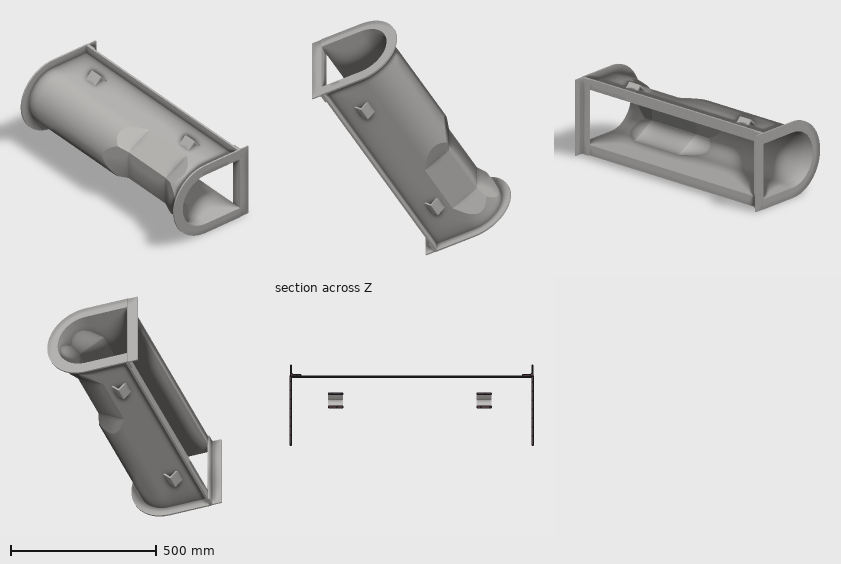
import cadquery as cq
import math


length = 838.0
depth = 330.0
height = 279.0

wall = 6.4
flange_radius = height / 2
inner_radius = 101.5
outer_radius = inner_radius + wall
border_width = flange_radius - inner_radius
trough_back = 152.5

dent_center_x = 190.0
dent_width = 203.0
dent_front = 74.0
dent_face_half_height = 54.0
dent_tilt = math.radians(30)
dent_ramp = math.radians(19)

gasket_thickness = 1.25
gasket_back = trough_back + gasket_thickness

angle_leg = depth - flange_radius - gasket_back
angle_thickness = 4.8
angle_root_radius = 6.0
angle_end_inset = 2.0

tab_width = 51.0
tab_height = 26.0
tab_thickness = 6.0
tab_ridge_width = 2.5
tab_y = 69.0
tab_first_x = -261.5
tab_spacing = 510.5
tab_columns = 2


def d_prism(radius, back, prism_length):
    """Solid bar along X with a half-round front and a flat back."""
    return (
        cq.Workplane("YZ")
        .moveTo(back, -radius)
        .lineTo(0, -radius)
        .threePointArc((-radius, 0), (0, radius))
        .lineTo(back, radius)
        .close()
        .extrude(prism_length / 2, both=True)
    )


def cut_dent(body, offset):
    """Cut away all that lies outside the dent faces, shifted inwards by offset."""
    half_width = dent_width / 2 + offset * math.tan(dent_ramp / 2)
    reach = outer_radius
    flare = reach / math.tan(dent_ramp)
    tilted_distance = dent_front * math.sin(dent_tilt) + dent_face_half_height * math.cos(dent_tilt)
    tilted_turn = 90 - math.degrees(dent_tilt)
    faces = [(0, dent_front), (tilted_turn, tilted_distance), (-tilted_turn, tilted_distance)]
    for turn, distance in faces:
        near = offset - distance
        far = near - reach
        wedge = (
            cq.Workplane("XY")
            .polyline([
                (dent_center_x - half_width, near),
                (dent_center_x + half_width, near),
                (dent_center_x + half_width + flare, far),
                (dent_center_x - half_width - flare, far),
            ])
            .close()
            .extrude(2 * reach, both=True)
            .rotate((0, 0, 0), (1, 0, 0), turn)
        )
        body = body.cut(wedge)
    return body


def make_trough():
    """Dented shell, a flange at each end and a strip along each back edge."""
    shell = cut_dent(d_prism(outer_radius, trough_back, length), 0)
    flanges = d_prism(flange_radius, trough_back, length).cut(
        d_prism(flange_radius, trough_back, length - 2 * wall)
    )
    strips = cq.Workplane("XY").box(length, wall, height).translate((0, trough_back - wall / 2, 0))
    cavity = cut_dent(d_prism(inner_radius, trough_back, length), wall)
    return shell.union(flanges).union(strips).cut(cavity)


def make_gasket():
    """Thin rectangular frame as wide as the back strips."""
    return (
        cq.Workplane("XZ", origin=(0, gasket_back, 0))
        .rect(length, height)
        .rect(length - 2 * border_width, height - 2 * border_width)
        .extrude(gasket_thickness)
    )


def make_corner_angle(side):
    """Upright L section; side is -1 for the -X end and +1 for the +X end."""
    outer_x = length / 2 - angle_end_inset
    inner_x = outer_x - angle_thickness
    inner_y = gasket_back + angle_thickness
    tip_x = outer_x - angle_leg
    tip_y = gasket_back + angle_leg
    angle = (
        cq.Workplane("XY", origin=(0, 0, -height / 2))
        .moveTo(outer_x, gasket_back)
        .lineTo(outer_x, tip_y)
        .lineTo(inner_x, tip_y)
        .lineTo(inner_x, inner_y + angle_root_radius)
        .radiusArc((inner_x - angle_root_radius, inner_y), angle_root_radius)
        .lineTo(tip_x, inner_y)
        .lineTo(tip_x, gasket_back)
        .close()
        .extrude(height)
    )
    return angle if side > 0 else angle.mirror("YZ")


def make_tab(center_x, side):
    """Bent strip with 45 degree legs; side is +1 for the top and -1 for the bottom."""
    half_ridge = tab_ridge_width / 2
    half_foot = half_ridge + tab_height
    inner_half_foot = half_foot - tab_thickness * math.sqrt(2)
    tab = (
        cq.Workplane("YZ", origin=(center_x - tab_width / 2, tab_y, outer_radius))
        .polyline([
            (-half_foot, 0),
            (-half_ridge, tab_height),
            (half_ridge, tab_height),
            (half_foot, 0),
            (inner_half_foot, 0),
            (0, inner_half_foot),
            (-inner_half_foot, 0),
        ])
        .close()
        .extrude(tab_width)
    )
    return tab if side > 0 else tab.mirror("XY")


trough = make_trough()
gasket = make_gasket()
corner_angles = [make_corner_angle(side) for side in (-1, 1)]
tabs = [
    make_tab(tab_first_x + column * tab_spacing, side)
    for column in range(tab_columns)
    for side in (-1, 1)
]

result = cq.Compound.makeCompound([
    trough.val(),
    gasket.val(),
    *[angle.val() for angle in corner_angles],
    *[tab.val() for tab in tabs],
])